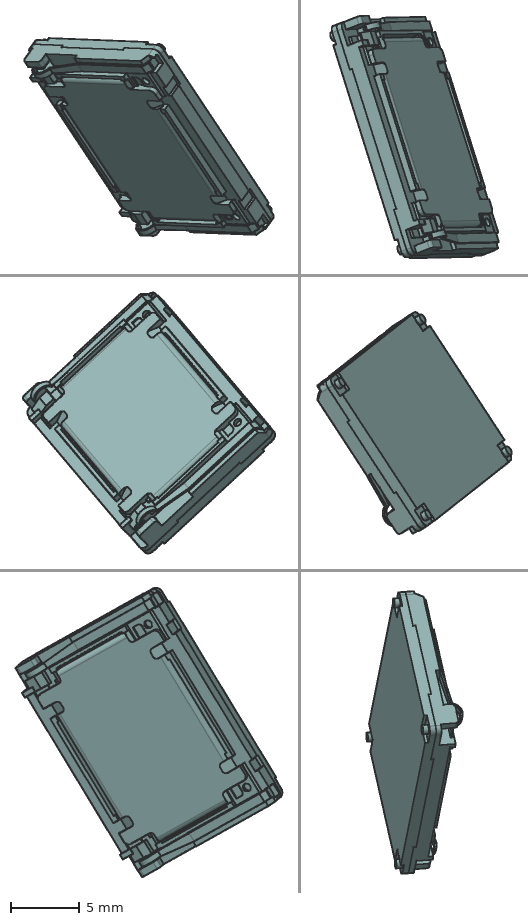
import cadquery as cq
import math


TILT_DEG = 33.15
WIDTH = 12.99
LENGTH = 18.0
CORNER_R = 0.5
HALF_W = WIDTH / 2
HALF_L = LENGTH / 2
CLEAR = 1.1

FRAME_FRONT = -0.52
SEAM = -1.79
LID_BACK = -2.48
PEG_BACK = -2.65
SHOULDER_TOP = -0.4

TAB_DEPTH = 0.2
SIDE_TAB_HALF = 5.45
END_TAB_HALF = 3.14
PEG_R = 0.35
PEG_X = 5.8
PEG_Y = 8.3
BACK_NOTCH_X = 5.01
BACK_NOTCH_Y = 7.58
BACK_NOTCH_TOP = -2.25

BEND_X = 4.68
BEND_Y = 6.97
BEND_R = 0.4
END_BEND_HALF = 3.2
EAR_X = 5.62
EAR_Y_IN = 5.35
EAR_Y_OUT = 6.45
EAR_R = 0.44
SIDE_NOTCH_X = 4.18
SIDE_NOTCH_OUT = 5.12
END_NOTCH_FLOOR_X = 3.81
END_NOTCH_OUT = 4.5
NOTCH_R = 0.28

SIDE_RAIL_OUT = 5.55
SIDE_RAIL_HALF = 4.49
END_RAIL_OUT = 7.8
END_RAIL_HALF = 3.53
SLOT_FLOOR = -0.75
SLOT_GAP = 0.15
SIDE_SLOT_HALF = 4.03
END_SLOT_HALF = 3.0

SHOULDER_X = 5.67
GROOVE_X = 5.85
GROOVE_FLOOR = -0.75
LEDGE_Y = 6.75
HOLE_R = 0.3
HOLE_X = 5.01
HOLE_Y = 7.02
HOLE_DEPTH = 0.33

LEDGE_Y_OUT = 7.17
LEDGE_X_IN = -5.53
LEDGE_TOP = -0.13
CORNER_FLOOR = -1.37
POST_X = -5.93
POST_END_X = -4.18
POST_Y = 8.41
POST_R = 0.26
BLOCK_X = -4.92
RAMP_LOW = -0.33
UNDERCUT_TOP = -0.41
UNDERCUT_FLOOR = -1.18
FLEX_FLOOR = -0.85
FLEX_END_X = -1.05

TAIL_POCKET_X = 6.05
TAIL_POCKET_Y_OUT = 8.72
TAIL_POCKET_FLOOR = -1.5
CORNER_STEP = -1.13
SIDE_NOTCH_DEPTH = 0.28
SIDE_NOTCH_LENGTH = 0.87

SPRING_T = 0.15
SPRING_TOP = -0.3
SPRING_Y_IN = 7.87
SPRING_Y_OUT = 8.59
SPRING_TIP_Y = 8.32
TAIL_BEND_X = 5.67
TAIL_END_TOP = -0.75
RISE_X = -0.87
LOOP_START_X = -3.64
LOOP_END_X = -5.4
LOOP_HEIGHT = 0.6
SEAT = SPRING_TOP - SPRING_T


def box(x0, x1, y0, y1, z0, z1):
    return cq.Workplane("XY").box(x1 - x0, y1 - y0, z1 - z0, centered=False).translate((x0, y0, z0))


def along_y(points, y0, y1):
    """Prism whose (x, z) outline runs from y0 to y1."""
    return cq.Workplane("XZ").polyline(points).close().extrude(y0 - y1).translate((0, y0, 0))


def mirror_y(shape):
    return shape.mirror("XZ")


def mirror_x(shape):
    return shape.mirror("YZ")


def both_ends(shape):
    return [shape, mirror_y(shape)]


def both_sides(shape):
    return [shape, mirror_x(shape)]


def four_corners(shape):
    return both_ends(shape) + both_ends(mirror_x(shape))


def add_all(body, shapes):
    for shape in shapes:
        body = body.union(shape)
    return body


def cut_all(body, shapes):
    for shape in shapes:
        body = body.cut(shape)
    return body


def rounded_slab(z0, z1):
    slab = cq.Workplane("XY").rect(WIDTH, LENGTH).extrude(z1 - z0)
    return slab.edges("|Z").fillet(CORNER_R).translate((0, 0, z0))


def lid_tabs():
    """Tongues of the lid that reach past the seam on all four walls."""
    z0, z1 = SEAM, SEAM + TAB_DEPTH
    side = box(-HALF_W, HALF_W, -SIDE_TAB_HALF, SIDE_TAB_HALF, z0, z1)
    end = box(-END_TAB_HALF, END_TAB_HALF, -HALF_L, HALF_L, z0, z1)
    return side.union(end)


def make_lid():
    lid = rounded_slab(LID_BACK, SEAM).union(lid_tabs())
    notch = box(
        BACK_NOTCH_X, HALF_W + CLEAR, BACK_NOTCH_Y, HALF_L + CLEAR, LID_BACK - CLEAR, BACK_NOTCH_TOP
    )
    peg = cq.Workplane("XY").circle(PEG_R).extrude(BACK_NOTCH_TOP - PEG_BACK)
    peg = peg.translate((PEG_X, PEG_Y, PEG_BACK))
    lid = cut_all(lid, four_corners(notch))
    return add_all(lid, four_corners(peg))


def add_shoulders(body):
    """Raised shoulders under the plate ears, with sloped flanks that drop into grooves."""
    right_end = END_RAIL_OUT
    left_end = LEDGE_Y
    profile = [
        (0, GROOVE_FLOOR),
        (GROOVE_X, GROOVE_FLOOR),
        (SHOULDER_X, SHOULDER_TOP),
        (0, SHOULDER_TOP),
    ]
    right_shoulder = along_y(profile, EAR_Y_IN, right_end)
    left_shoulder = mirror_x(along_y(profile, EAR_Y_IN, left_end))
    right_groove = box(0, GROOVE_X, EAR_Y_IN, right_end, GROOVE_FLOOR, CLEAR)
    left_groove = box(-GROOVE_X, 0, EAR_Y_IN, left_end, GROOVE_FLOOR, CLEAR)
    body = cut_all(body, both_ends(right_groove.union(left_groove)))
    body = add_all(body, both_ends(right_shoulder.union(left_shoulder)))
    hole = cq.Workplane("XY").circle(HOLE_R).extrude(HOLE_DEPTH)
    hole = hole.translate((HOLE_X, HOLE_Y, SHOULDER_TOP - HOLE_DEPTH))
    return cut_all(body, both_ends(hole))


def pole_plate():
    """Front plate with four ears; the rails beside it are part of the same slab."""
    depth = -FRAME_FRONT
    core = box(-SIDE_NOTCH_OUT, SIDE_NOTCH_OUT, -EAR_Y_OUT, EAR_Y_OUT, FRAME_FRONT, 0)
    ears = cq.Workplane("XY").rect(2 * EAR_X, 2 * EAR_Y_OUT).extrude(-SHOULDER_TOP)
    ears = ears.edges("|Z").fillet(EAR_R).translate((0, 0, SHOULDER_TOP))
    ears = ears.cut(box(-HALF_W, HALF_W, -EAR_Y_IN, EAR_Y_IN, FRAME_FRONT, CLEAR))
    side_rails = cq.Workplane("XY").rect(2 * SIDE_RAIL_OUT, 2 * SIDE_RAIL_HALF).extrude(depth)
    end_rails = cq.Workplane("XY").rect(2 * END_RAIL_HALF, 2 * END_RAIL_OUT).extrude(depth)
    rails = side_rails.union(end_rails).translate((0, 0, FRAME_FRONT))
    return core.union(ears).union(rails)


def bend_groove(edge, half_length, slot_half):
    """Groove along +x: rounded plate edge at x = edge, then a narrow slot beside the rail."""
    wall = edge + BEND_R
    outline = (
        cq.Workplane("XZ").moveTo(edge, 0)
        .radiusArc((wall, -BEND_R), BEND_R)
        .lineTo(wall, CLEAR).lineTo(edge, CLEAR).close()
    )
    groove = outline.extrude(half_length, both=True)
    slot = box(wall, wall + SLOT_GAP, -slot_half, slot_half, SLOT_FLOOR, CLEAR)
    return groove.union(slot)


def side_notch():
    """Relief at the end of a long bend, its floor sloping down to the frame."""
    profile = [
        (SIDE_NOTCH_X, 0),
        (SIDE_NOTCH_OUT, FRAME_FRONT),
        (SIDE_NOTCH_OUT, CLEAR),
        (SIDE_NOTCH_X, CLEAR),
    ]
    notch = along_y(profile, SIDE_RAIL_HALF, EAR_Y_IN)
    return notch.edges("<X and |Z").fillet(NOTCH_R)


def end_notch():
    """Relief at the end of a short bend: a sloped side that steps down to a flat floor."""
    profile = [
        (END_BEND_HALF, 0),
        (END_NOTCH_FLOOR_X, SHOULDER_TOP),
        (END_NOTCH_FLOOR_X, FRAME_FRONT),
        (END_NOTCH_OUT, FRAME_FRONT),
        (END_NOTCH_OUT, CLEAR),
        (END_BEND_HALF, CLEAR),
    ]
    notch = along_y(profile, EAR_Y_OUT, BEND_Y + BEND_R)
    return notch.edges("|Z").edges("<X and <Y or >X and >Y").fillet(NOTCH_R)


def cut_plate_edges(body):
    side_groove = bend_groove(BEND_X, SIDE_RAIL_HALF, SIDE_SLOT_HALF)
    end_groove = bend_groove(BEND_Y, END_BEND_HALF, END_SLOT_HALF).rotate((0, 0, 0), (0, 0, 1), 90)
    body = cut_all(body, both_sides(side_groove) + both_ends(end_groove))
    return cut_all(body, four_corners(side_notch()) + four_corners(end_notch()))


def add_contact_corner(body):
    """Left corner of each end: sunken corner, ramp, blocks and the pocket the spring flexes into."""
    corner = box(-HALF_W - CLEAR, POST_X, LEDGE_Y_OUT, HALF_L + CLEAR, CORNER_FLOOR, CLEAR)
    channel = box(POST_X, POST_END_X, END_RAIL_OUT, POST_Y, CORNER_FLOOR, CLEAR)
    flex = box(POST_END_X, FLEX_END_X, END_RAIL_OUT, HALF_L + CLEAR, FLEX_FLOOR, CLEAR)
    undercut = box(POST_X, BLOCK_X, LEDGE_Y_OUT, END_RAIL_OUT, UNDERCUT_FLOOR, UNDERCUT_TOP)
    ramp_base = box(POST_X, BLOCK_X, LEDGE_Y, END_RAIL_OUT, GROOVE_FLOOR, CLEAR)
    ramp = along_y(
        [(POST_X, UNDERCUT_TOP), (POST_X, RAMP_LOW), (BLOCK_X, 0), (BLOCK_X, UNDERCUT_TOP)],
        LEDGE_Y, END_RAIL_OUT,
    )
    ramp_support = box(POST_X, BLOCK_X, LEDGE_Y, LEDGE_Y_OUT, CORNER_FLOOR, UNDERCUT_TOP)
    post = box(POST_X, POST_END_X, POST_Y, HALF_L, FRAME_FRONT, 0)
    post = post.edges(">Z and |Y").fillet(POST_R)
    block = box(BLOCK_X, POST_END_X, LEDGE_Y, END_RAIL_OUT, FRAME_FRONT, 0)
    ledge = box(-HALF_W, LEDGE_X_IN, LEDGE_Y, LEDGE_Y_OUT, CORNER_FLOOR, LEDGE_TOP)
    for cutter in (corner, channel, flex, undercut, ramp_base):
        body = cut_all(body, both_ends(cutter))
    for solid in (post, block, ramp_support, ramp, ledge):
        body = add_all(body, both_ends(solid))
    return body


def tail_slope(top, bottom, y0, y1):
    """Cutter that slopes the seat away from x = TAIL_BEND_X down to the tail pocket."""
    profile = [
        (TAIL_BEND_X, top),
        (TAIL_POCKET_X, bottom),
        (TAIL_POCKET_X, CLEAR),
        (TAIL_BEND_X, CLEAR),
    ]
    return along_y(profile, y0, y1)


def cut_tail_corner(body):
    """Right corner of each end: pockets and slopes around the bent spring tail."""
    outer = HALF_L + CLEAR
    step = box(TAIL_POCKET_X, HALF_W + CLEAR, END_RAIL_OUT, outer, CORNER_STEP, CLEAR)
    pocket = box(
        TAIL_POCKET_X, HALF_W + CLEAR, END_RAIL_OUT, TAIL_POCKET_Y_OUT, TAIL_POCKET_FLOOR, CLEAR
    )
    seat_slope = tail_slope(SEAT, TAIL_END_TOP - SPRING_T, SPRING_Y_IN, SPRING_Y_OUT)
    wall_slope = tail_slope(FRAME_FRONT, CORNER_STEP, SPRING_Y_OUT, outer)
    for cutter in (step, pocket, seat_slope, wall_slope):
        body = cut_all(body, both_ends(cutter))
    return body


def wall_notch():
    """Notch through the right wall, beside the lid tongue."""
    return box(
        HALF_W - SIDE_NOTCH_DEPTH, HALF_W + CLEAR,
        SIDE_TAB_HALF, SIDE_TAB_HALF + SIDE_NOTCH_LENGTH,
        SEAM, CLEAR,
    )


def make_housing():
    body = rounded_slab(SEAM, FRAME_FRONT).cut(lid_tabs())
    body = add_shoulders(body)
    body = body.union(pole_plate())
    body = cut_plate_edges(body)
    seat = box(FLEX_END_X, TAIL_POCKET_X, SPRING_Y_IN, SPRING_Y_OUT, FRAME_FRONT, SEAT)
    body = add_all(body, both_ends(seat))
    body = add_contact_corner(body)
    body = cut_tail_corner(body)
    return cut_all(body, both_ends(wall_notch()))


def make_spring():
    """Strip with a bent tail, a rising arm and a contact loop at its free end."""
    loop_x = (LOOP_START_X + LOOP_END_X) / 2
    half_chord = (LOOP_START_X - LOOP_END_X) / 2
    outer_r = (half_chord**2 + LOOP_HEIGHT**2) / (2 * LOOP_HEIGHT)
    loop_z = LOOP_HEIGHT - outer_r
    inner_r = outer_r - SPRING_T
    inner_half = math.sqrt(inner_r**2 - (SPRING_T + loop_z) ** 2)
    ribbon = (
        cq.Workplane("XZ")
        .moveTo(TAIL_POCKET_X, TAIL_END_TOP)
        .lineTo(TAIL_BEND_X, SPRING_TOP)
        .lineTo(RISE_X, SPRING_TOP)
        .lineTo(LOOP_START_X, 0)
        .threePointArc((loop_x, LOOP_HEIGHT), (LOOP_END_X, 0))
        .lineTo(loop_x - inner_half, -SPRING_T)
        .threePointArc((loop_x, LOOP_HEIGHT - SPRING_T), (loop_x + inner_half, -SPRING_T))
        .lineTo(RISE_X, SEAT)
        .lineTo(TAIL_BEND_X, SEAT)
        .lineTo(TAIL_POCKET_X, TAIL_END_TOP - SPRING_T)
        .close()
        .extrude(-LENGTH)
    )
    outline = cq.Workplane("XY").polyline([
        (HALF_W, SPRING_Y_IN),
        (HALF_W, SPRING_Y_OUT),
        (RISE_X, SPRING_Y_OUT),
        (LOOP_START_X, SPRING_TIP_Y),
        (-HALF_W, SPRING_TIP_Y),
        (-HALF_W, SPRING_Y_IN),
    ]).close().extrude(LENGTH, both=True)
    return ribbon.intersect(outline)


def stand_up(body):
    """Turn the front face toward -Y, then tilt the module about the Y axis."""
    upright = body.rotate((0, 0, 0), (1, 0, 0), 90)
    return upright.rotate((0, 0, 0), (0, 1, 0), -TILT_DEG)


lid = stand_up(make_lid())
housing = stand_up(make_housing())
springs = [stand_up(spring) for spring in both_ends(make_spring())]

result = cq.Compound.makeCompound([lid.val(), housing.val(), *[spring.val() for spring in springs]])